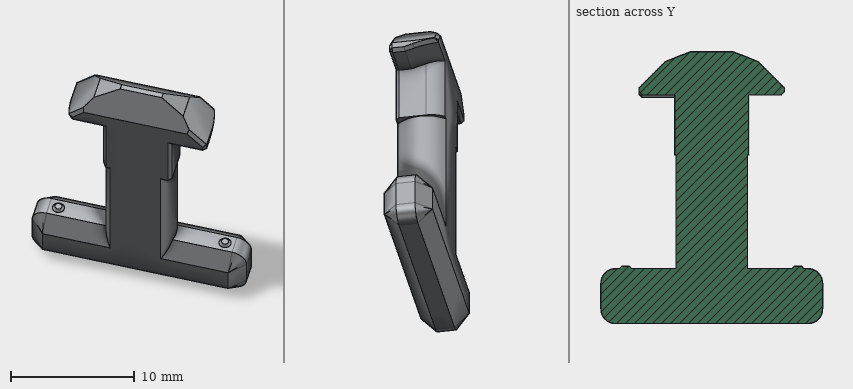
import cadquery as cq
import math

length = 18.0
thickness = 4.0
height = 22.05
half_thick = thickness / 2

foot_height = 4.48
foot_bevel = 1.21
foot_core = length / 2 - foot_bevel
foot_flat = half_thick - foot_bevel

bump_offset = 7.0
bump_base_radius = 0.49
bump_top_radius = 0.29
bump_height = 0.2

stem_radius = 2.9
stem_top = 13.7
neck_half = 3.0
neck_arc_radius = 2.34
neck_arc_start = 0.53

head_half = 5.9
head_bottom = 18.32
head_end_top = 19.1
shoulder_half = 3.75
shoulder_z = head_end_top + head_half - shoulder_half
top_half = 1.75
ridge_half = 0.232
ridge_bottom = height - (half_thick - ridge_half)
ramp_start = 0.68
edge_chamfer = 0.275


def half_turn_copies(shape):
    """The shape together with its copy turned half way round Z."""
    return shape.union(shape.rotate((0, 0, 0), (0, 0, 1), 180))


def foot_corner(x, z, start_angle):
    """Quarter turn about a line parallel to Y: a cylindrical band between two cones."""
    return (
        cq.Workplane("XY")
        .moveTo(0, -half_thick)
        .lineTo(foot_bevel, -foot_flat)
        .lineTo(foot_bevel, foot_flat)
        .lineTo(0, half_thick)
        .close()
        .revolve(90, (0, 0, 0), (0, 1, 0))
        .rotate((0, 0, 0), (0, 1, 0), start_angle)
        .translate((x, 0, z))
    )


def bevelled_section(plane, half_span, depth):
    """Octagonal bar centred on the plane origin, with the first plane axis along Y."""
    return (
        cq.Workplane(plane)
        .polyline([
            (-half_thick, -half_span + foot_bevel),
            (-foot_flat, -half_span),
            (foot_flat, -half_span),
            (half_thick, -half_span + foot_bevel),
            (half_thick, half_span - foot_bevel),
            (foot_flat, half_span),
            (-foot_flat, half_span),
            (-half_thick, half_span - foot_bevel),
        ])
        .close()
        .extrude(depth / 2, both=True)
    )


def make_foot():
    mid_z = foot_height / 2
    core_height = foot_height - 2 * foot_bevel
    foot = bevelled_section("YZ", mid_z, 2 * foot_core)
    upright = cq.Plane(origin=(0, 0, 0), xDir=(0, 1, 0), normal=(0, 0, 1))
    foot = foot.union(bevelled_section(upright, length / 2, core_height))
    foot = foot.translate((0, 0, mid_z))
    low_z = foot_bevel
    high_z = foot_height - foot_bevel
    corners = [(foot_core, low_z), (-foot_core, low_z), (-foot_core, high_z), (foot_core, high_z)]
    for index, (x, z) in enumerate(corners):
        foot = foot.union(foot_corner(x, z, 90 * index))
    for x in (-bump_offset, bump_offset):
        bump = cq.Solid.makeCone(
            bump_base_radius, bump_top_radius, bump_height, pnt=cq.Vector(x, 0, foot_height)
        )
        foot = foot.union(cq.Workplane(bump))
    return foot


def make_stem():
    bottom = foot_bevel
    slab = cq.Workplane("XY").box(length, thickness, height, centered=(True, True, False))
    stem = cq.Workplane("XY").workplane(offset=bottom).circle(stem_radius).extrude(stem_top - bottom)
    return stem.rotate((0, 0, 0), (0, 0, 1), 180).intersect(slab)


def make_neck():
    """Two opposite corners are large arcs, the other two are small chamfers."""
    arc_depth = half_thick - neck_arc_start
    arc_centre = neck_half - neck_arc_radius
    arc_end = arc_centre + math.sqrt(neck_arc_radius**2 - arc_depth**2)
    return (
        cq.Workplane("XY")
        .workplane(offset=stem_top)
        .moveTo(-arc_end, -half_thick)
        .lineTo(neck_half - edge_chamfer, -half_thick)
        .lineTo(neck_half, -half_thick + edge_chamfer)
        .lineTo(neck_half, neck_arc_start)
        .radiusArc((arc_end, half_thick), -neck_arc_radius)
        .lineTo(-neck_half + edge_chamfer, half_thick)
        .lineTo(-neck_half, half_thick - edge_chamfer)
        .lineTo(-neck_half, -neck_arc_start)
        .radiusArc((-arc_end, -half_thick), -neck_arc_radius)
        .close()
        .extrude(ridge_bottom - stem_top)
    )


def make_head():
    head = (
        cq.Workplane("XZ")
        .polyline([
            (-head_half, head_bottom),
            (head_half, head_bottom),
            (head_half, head_end_top),
            (shoulder_half, shoulder_z),
            (top_half, height),
            (-top_half, height),
            (-shoulder_half, shoulder_z),
            (-head_half, head_end_top),
        ])
        .close()
        .extrude(half_thick, both=True)
    )

    swing = cq.Workplane("XY").circle(head_half).extrude(height)
    square_corner = cq.Workplane("XY").box(head_half, half_thick, height, centered=False)
    square_corner = square_corner.translate((0, -half_thick, 0))
    swing = swing.union(half_turn_copies(square_corner))
    head = head.intersect(swing)

    ramp = (
        cq.Workplane("YZ")
        .polyline([(ramp_start, head_bottom), (-half_thick, head_bottom), (-half_thick, head_end_top)])
        .close()
        .extrude(-head_half)
    )
    return chamfer_head(head.cut(half_turn_copies(ramp)))


def chamfer_head(head):
    """Chamfer the outer and lower edges of both ends; each edge is picked by a point near its middle."""
    slope_x = (head_half + shoulder_half) / 2
    slope_z = (head_end_top + shoulder_z) / 2
    wall_z = (head_bottom + head_end_top) / 2
    swing_x = math.sqrt(head_half**2 - half_thick**2)
    ramp_rise = (head_end_top - head_bottom) * ramp_start / (ramp_start + half_thick)
    edge_points = [
        (slope_x, -half_thick, slope_z),
        (head_half, -half_thick, wall_z),
        (head_half / 2, -half_thick, head_bottom),
        (head_half, -(half_thick + ramp_start) / 2, head_bottom),
        (head_half, -ramp_start / 2, head_bottom + ramp_rise / 2),
        ((head_half + swing_x) / 2, half_thick / 2, wall_z),
        (slope_x, half_thick, slope_z),
        (swing_x, half_thick, head_end_top + (head_half - swing_x) / 2),
    ]
    edges = []
    for x, y, z in edge_points:
        for turn in (1, -1):
            edges += head.edges(cq.NearestToPointSelector((turn * x, turn * y, z))).vals()
    return head.newObject(edges).chamfer(edge_chamfer)


def bevel_head(head):
    """Slope the front and back of the head up to a narrow ridge."""
    gable = (
        cq.Workplane("YZ")
        .polyline([
            (-half_thick, head_bottom),
            (half_thick, head_bottom),
            (half_thick, ridge_bottom),
            (ridge_half, height),
            (-ridge_half, height),
            (-half_thick, ridge_bottom),
        ])
        .close()
        .extrude(head_half, both=True)
    )
    return head.intersect(gable)


head = bevel_head(make_head())
result = make_foot().union(make_stem()).union(make_neck()).union(head)